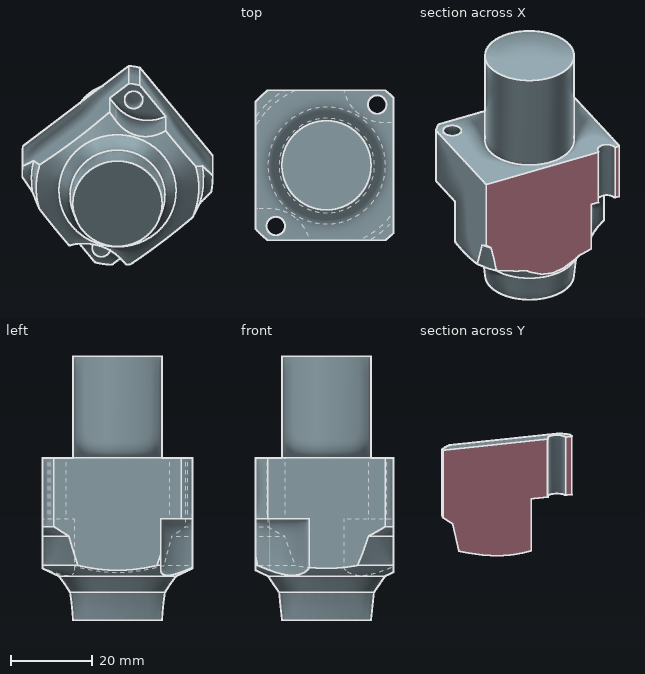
import cadquery as cq

total_height = 65.0
shank_diameter = 22.0
shank_length = 25.0
block_top = total_height - shank_length

block_left = 17.5
block_right = 16.5
block_depth = 37.0

corner_radius = 23.45
corner_bottom = 23.1
shoulder_radius = 21.2
shoulder_height = 20.75
skirt_radius = 20.0
skirt_height = 13.5
neck_radius = 14.4
neck_height = 10.85
nose_root_radius = 11.7
nose_height = 6.9
nose_tip_radius = shank_diameter / 2

bolt_diameter = 4.5
bolt_x = 12.5
bolt_y = 14.95
flange_thickness = 15.0
pocket_arc_radius = 10.0
pocket_arc_x = 14.05
pocket_wall_y = 10.6
pocket_arc_y = pocket_wall_y + pocket_arc_radius
clearance = 6.5


def make_block():
    """Intersect the rectangular block with the turned envelope."""
    width = block_left + block_right
    prism = (
        cq.Workplane("XY")
        .center((block_right - block_left) / 2, 0)
        .rect(width, block_depth)
        .extrude(block_top)
    )
    envelope = (
        cq.Workplane("XZ")
        .polyline([
            (0, 0),
            (nose_tip_radius, 0),
            (nose_root_radius, nose_height),
            (neck_radius, neck_height),
            (skirt_radius, skirt_height),
            (shoulder_radius, shoulder_height),
            (corner_radius, corner_bottom),
            (corner_radius, block_top),
            (0, block_top),
        ])
        .close()
        .revolve(360, (0, 0), (0, 1))
    )
    return prism.intersect(envelope)


def make_pocket():
    """Relief below the (-X, -Y) bolt hole: a flat wall running into a concave arc."""
    outer_x = -block_left - clearance
    outer_y = -pocket_arc_y
    return (
        cq.Workplane("XY")
        .moveTo(outer_x, outer_y)
        .lineTo(outer_x, -pocket_wall_y)
        .lineTo(-pocket_arc_x, -pocket_wall_y)
        .radiusArc((pocket_arc_radius - pocket_arc_x, outer_y), pocket_arc_radius)
        .close()
        .extrude(block_top - flange_thickness)
    )


shank = cq.Workplane("XY").workplane(offset=block_top).circle(shank_diameter / 2).extrude(shank_length)
bolt_holes = (
    cq.Workplane("XY")
    .pushPoints([(-bolt_x, -bolt_y), (bolt_x, bolt_y)])
    .circle(bolt_diameter / 2)
    .extrude(block_top)
)

body = make_block().union(shank).cut(bolt_holes)
pocket = make_pocket()
for angle in (0, 180):
    body = body.cut(pocket.rotate((0, 0, 0), (0, 0, 1), angle))

result = body